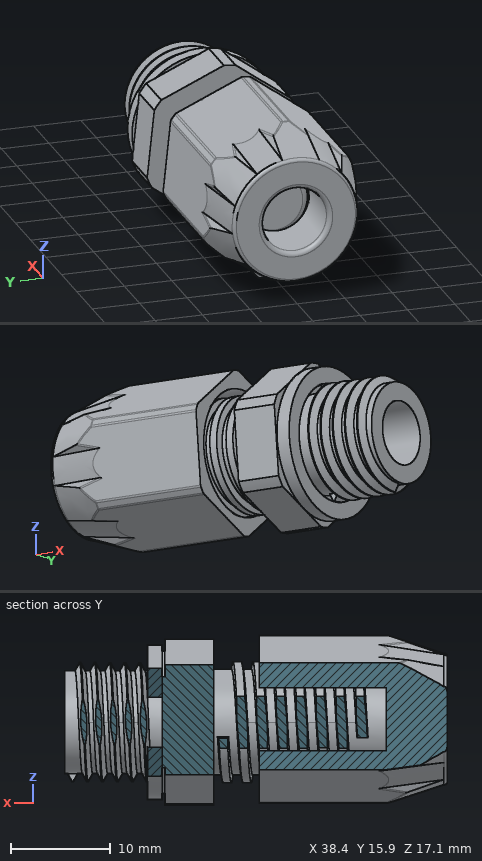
import cadquery as cq
import math

total_length = 38.4
hex_turn = 24.0
flats_distance = 15.0
half_flats = flats_distance / 2
side_count = 6

nut_offset_y = -0.23
nut_offset_z = 0.3
nut_length = 18.9
nut_corner_diameter = 16.85
nut_corner_radius = nut_corner_diameter / 2
nut_corner_fillet = 0.45
nose_face_diameter = 12.55
nose_face_radius = nose_face_diameter / 2
nose_radius = 6.6
nose_edge = 0.4
corner_cone_length = 5.95
scoop_end = 5.9
scoop_half_width = 1.45
scoop_height = 1.55
rim_middle_start = 4.6
cone_rim_fillet = 0.35
scoop_wall_spread = 1.6
nut_bore_diameter = 6.75
nut_mouth_fillet = 0.5
nut_recess_diameter = 13.05
nut_recess_start = 6.15

neck_diameter = 10.65
hex_start = 23.43
hex_end = 28.35
body_corner_radius = 8.35
boss_diameter = 14.33
boss_end = 28.6
tail_diameter = 10.35
body_bore_diameter = 6.53

neck_crest_diameter = 12.18
neck_pitch = 2.0
neck_turns = 7
neck_thread_end = 22.5
neck_root_width = 1.15
neck_crest_width = 0.85
neck_start_angle = 74.0

tail_crest_diameter = 12.0
tail_pitch = 1.5
tail_turns = 5
tail_thread_end = 37.6
tail_root_width = 1.1
tail_crest_width = 0.1
tail_start_angle = 0.0

thread_sink = 0.08

washer_diameter = 15.5
washer_end = 30.1
washer_bore_diameter = 12.05

insert_diameter = 7.3
insert_face_diameter = 5.88
insert_end = hex_start


def rod(diameter, start, end):
    """A round bar on the X axis."""
    return cq.Workplane("YZ", origin=(start, 0, 0)).circle(diameter / 2).extrude(end - start)


def hexagon_bar(corner_radius, start, end):
    """A hexagon bar on the X axis, with its corners turned to a cylinder."""
    corner_diameter = 2 * half_flats / math.cos(math.pi / side_count)
    bar = cq.Workplane("YZ", origin=(start, 0, 0)).polygon(side_count, corner_diameter).extrude(end - start)
    bar = bar.rotate((0, 0, 0), (1, 0, 0), -hex_turn)
    return bar.intersect(rod(2 * corner_radius, start, end))


def thread(root_diameter, crest_diameter, root_width, crest_width, pitch, turns, end, start_angle):
    """A right-handed thread ridge around the X axis, whose centre line ends at the given place."""
    root = root_diameter / 2 - thread_sink
    crest = crest_diameter / 2
    height = pitch * turns
    path = cq.Wire.makeHelix(pitch, height, root)
    ridge = (
        cq.Workplane("XZ")
        .polyline([
            (root, -root_width / 2),
            (crest, -crest_width / 2),
            (crest, crest_width / 2),
            (root, root_width / 2),
        ])
        .close()
        .sweep(cq.Workplane(path), isFrenet=True)
    )
    ridge = ridge.rotate((0, 0, 0), (0, 1, 0), 90)
    ridge = ridge.rotate((0, 0, 0), (1, 0, 0), start_angle)
    return ridge.translate((end - height, 0, 0))


def nose_envelope():
    """The turned shape of the nut: rounded nose edge, corner cone, then a straight cylinder."""
    return (
        cq.Workplane("XY")
        .moveTo(0, 0)
        .lineTo(0, nose_face_radius)
        .tangentArcPoint((nose_edge, nose_radius - nose_face_radius))
        .lineTo(corner_cone_length, nut_corner_radius)
        .lineTo(nut_length, nut_corner_radius)
        .lineTo(nut_length, 0)
        .close()
        .revolve(360, (0, 0, 0), (1, 0, 0))
    )


def scoop_cutter():
    """A flared channel above a flat that faces +Z, with a cone around the X axis as its floor."""
    slope = (half_flats - nose_radius) / (scoop_end - nose_edge)
    reach = 2 * scoop_end
    depth = nose_radius * (1 - math.cos(math.asin(scoop_half_width / nose_radius)))
    top_half_width = scoop_half_width + scoop_wall_spread * scoop_height
    floor = nose_radius - depth

    def section(x):
        rise = floor + slope * (x - nose_edge)
        corners = [
            cq.Vector(x, -scoop_half_width, rise),
            cq.Vector(x, scoop_half_width, rise),
            cq.Vector(x, top_half_width, rise + scoop_height),
            cq.Vector(x, -top_half_width, rise + scoop_height),
        ]
        return cq.Wire.makePolygon(corners, close=True)

    channel = cq.Workplane(cq.Solid.makeLoft([section(nose_edge), section(reach)], True))
    floor_cone = (
        cq.Workplane("XY")
        .moveTo(0, 0)
        .lineTo(0, nose_radius - slope * nose_edge)
        .lineTo(reach, nose_radius + slope * (reach - nose_edge))
        .lineTo(reach, 0)
        .close()
        .revolve(360, (0, 0, 0), (1, 0, 0))
    )
    return channel.cut(floor_cone)


def make_cap_nut():
    """The hexagon nut: coned nose with a scoop in each flat, round mouth, recess for the neck."""
    nut = hexagon_bar(nut_corner_radius, 0, nut_length)
    nut = nut.edges("|X").fillet(nut_corner_fillet)
    nut = nut.intersect(nose_envelope())
    cutter = scoop_cutter()
    side_angle = 360 / side_count
    for side in range(side_count):
        turn = side * side_angle - hex_turn
        nut = nut.cut(cutter.rotate((0, 0, 0), (1, 0, 0), turn))
    rims = cq.selectors.BoxSelector(
        (rim_middle_start, -nut_length, -nut_length),
        (scoop_end, nut_length, nut_length),
    )
    nut = nut.edges(rims).fillet(cone_rim_fillet)
    nut = nut.cut(rod(nut_bore_diameter, 0, nut_length))
    mouth_edge = cq.selectors.RadiusNthSelector(0)
    nut = nut.faces("<X").edges(mouth_edge).fillet(nut_mouth_fillet)
    nut = nut.cut(rod(nut_recess_diameter, nut_recess_start, nut_length))
    return nut.translate((0, nut_offset_y, nut_offset_z))


def make_gland_body():
    """Threaded neck, hexagon, washer boss and threaded tail, bored through and widened for the insert."""
    body = rod(neck_diameter, nut_recess_start, hex_start)
    body = body.union(hexagon_bar(body_corner_radius, hex_start, hex_end))
    body = body.union(rod(boss_diameter, hex_end, boss_end))
    body = body.union(rod(tail_diameter, boss_end, total_length))
    body = body.union(thread(
        neck_diameter, neck_crest_diameter, neck_root_width, neck_crest_width,
        neck_pitch, neck_turns, neck_thread_end, neck_start_angle,
    ))
    body = body.union(thread(
        tail_diameter, tail_crest_diameter, tail_root_width, tail_crest_width,
        tail_pitch, tail_turns, tail_thread_end, tail_start_angle,
    ))
    body = body.cut(rod(body_bore_diameter, nut_recess_start, total_length))
    return body.cut(rod(insert_diameter, nut_recess_start, insert_end))


def make_washer():
    """A flat ring on the boss, wide enough to clear the tail thread."""
    return rod(washer_diameter, boss_end, washer_end).cut(rod(washer_bore_diameter, boss_end, washer_end))


def make_seal_insert():
    """A solid plug in the neck with a rounded front edge."""
    insert = rod(insert_diameter, nut_recess_start, insert_end)
    return insert.faces("<X").edges().fillet((insert_diameter - insert_face_diameter) / 2)


cap_nut = make_cap_nut()
gland_body = make_gland_body()
washer = make_washer()
seal_insert = make_seal_insert()

result = cq.Compound.makeCompound([cap_nut.val(), gland_body.val(), washer.val(), seal_insert.val()])